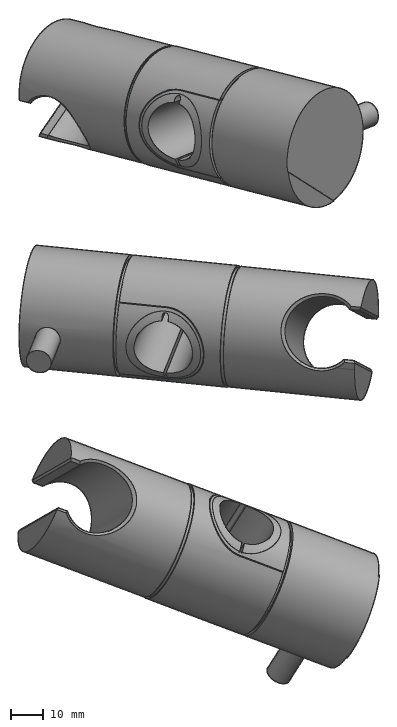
import cadquery as cq
import math

barrel_diameter = 38.0
barrel_radius = barrel_diameter / 2
total_length = 106.5
spacer_width = 1.0

holder_length = 41.5
holder_radius = 18.9
cradle_center_x = 11.6
cradle_radius = 11.2
cradle_mouth_width = 15.7
cradle_tilt = 34.5
mouth_chamfer_width = 0.9
rim_chamfer = 1.1
mouth_chamfer_depth = 0.4
tolerance = 0.01

housing_start = holder_length + spacer_width
housing_length = 33.0
housing_end = housing_start + housing_length
rail_center_x = 60.5
rail_bore_radius = 9.3
bushing_radius = 11.8
channel_half_width = 12.9
slide_clearance = 0.2
key_width = 2.0
key_top = 11.4
split_width = 0.9

holder_spacer_radius = barrel_radius - 0.5
knob_spacer_radius = barrel_radius - 1.2

knob_start = housing_end + spacer_width
end_pad_height = 0.3
end_pad_offset = 13.0
lever_center_x = 97.0
lever_radius = 3.9
lever_reach = 14.3
lever_seat_y = 14.9
lever_end_y = barrel_radius + lever_reach


def barrel(start, end, radius):
    """Round bar along X."""
    return cq.Workplane("YZ").workplane(offset=start).circle(radius).extrude(end - start)


def across(outline):
    """Extrude an XZ outline along Y right through the barrel."""
    return outline.extrude(barrel_diameter, both=True)


def rail_cylinder(radius):
    return across(cq.Workplane("XZ").center(rail_center_x, 0).circle(radius))


def channel(half_width):
    """U-shaped prism, round toward -X and open at the +X end of the housing."""
    return across(
        cq.Workplane("XZ")
        .moveTo(housing_end, half_width)
        .lineTo(rail_center_x, half_width)
        .threePointArc((rail_center_x - half_width, 0), (rail_center_x, -half_width))
        .lineTo(housing_end, -half_width)
        .close()
    )


def is_rim_edge(edge):
    """True where the cradle's bore or neck breaks out through the round side of the holder."""
    if edge.geomType() == "LINE":
        middle = edge.Center()
        on_surface = abs(math.hypot(middle.y, middle.z) - holder_radius) < tolerance
        is_seam = abs(middle.z) < tolerance
        return on_surface and not is_seam
    return edge.geomType() == "BSPLINE"


def make_holder():
    """Bar with a tilted C-shaped cradle open at its end face, all rims chamfered."""
    half_mouth = cradle_mouth_width / 2
    neck_x = cradle_center_x - math.sqrt(cradle_radius**2 - half_mouth**2)
    face_half_mouth = half_mouth + mouth_chamfer_width
    cradle = across(
        cq.Workplane("XZ")
        .moveTo(0, face_half_mouth)
        .lineTo(mouth_chamfer_depth, half_mouth)
        .lineTo(neck_x, half_mouth)
        .threePointArc((cradle_center_x + cradle_radius, 0), (neck_x, -half_mouth))
        .lineTo(mouth_chamfer_depth, -half_mouth)
        .lineTo(0, -face_half_mouth)
        .close()
    ).rotate((0, 0, 0), (1, 0, 0), cradle_tilt)
    body = barrel(0, holder_length, holder_radius).cut(cradle)
    rim = [edge for edge in body.edges().vals() if is_rim_edge(edge)]
    return body.newObject(rim).chamfer(rim_chamfer)


def make_spacer(start, radius):
    return barrel(start, start + spacer_width, radius)


def make_housing():
    return barrel(housing_start, housing_end, barrel_radius).cut(channel(channel_half_width))


def make_slide_block():
    """U-shaped block filling the housing channel, bored for the bushing."""
    block = channel(channel_half_width - slide_clearance)
    block = block.intersect(barrel(housing_start, housing_end, barrel_radius))
    return block.cut(rail_cylinder(bushing_radius))


def make_bushing():
    """Split sleeve around the rail, with a round-topped keyway opposite the split."""
    sleeve = rail_cylinder(bushing_radius).intersect(barrel(housing_start, housing_end, barrel_radius))
    sleeve = sleeve.cut(rail_cylinder(rail_bore_radius))
    half_key = key_width / 2
    keyway = across(
        cq.Workplane("XZ")
        .moveTo(rail_center_x - half_key, 0)
        .lineTo(rail_center_x - half_key, key_top - half_key)
        .threePointArc((rail_center_x, key_top), (rail_center_x + half_key, key_top - half_key))
        .lineTo(rail_center_x + half_key, 0)
        .close()
    )
    split = across(
        cq.Workplane("XZ").center(rail_center_x, -bushing_radius / 2).rect(split_width, bushing_radius)
    )
    return sleeve.cut(keyway).cut(split)


def make_lever():
    return (
        cq.Workplane("XZ", origin=(lever_center_x, lever_seat_y, 0))
        .circle(lever_radius)
        .extrude(lever_seat_y - lever_end_y)
    )


def make_knob():
    """Plain bar with a low circular-segment pad on its end and a blind hole for the lever."""
    pad_remover = (
        cq.Workplane("XY")
        .box(end_pad_height, 2 * barrel_diameter, barrel_diameter, centered=(False, True, False))
        .translate((total_length - end_pad_height, 0, -end_pad_offset))
        .rotate((0, 0, 0), (1, 0, 0), -cradle_tilt)
    )
    return barrel(knob_start, total_length, barrel_radius).cut(pad_remover).cut(make_lever())


holder = make_holder()
holder_spacer = make_spacer(holder_length, holder_spacer_radius)
housing = make_housing()
slide_block = make_slide_block()
bushing = make_bushing()
knob_spacer = make_spacer(housing_end, knob_spacer_radius)
knob = make_knob()
lever = make_lever()

bodies = [holder, holder_spacer, housing, slide_block, bushing, knob_spacer, knob, lever]
result = cq.Compound.makeCompound([body.val() for body in bodies])